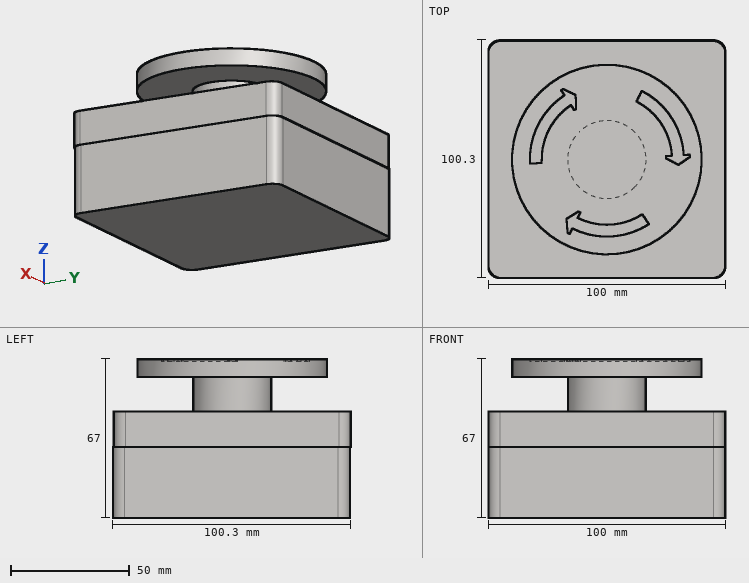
import cadquery as cq
import math

box_side = 100.0
corner_radius = 5.0
base_height = 30.0
lid_height = 15.0
base_offset_y = 0.34

stem_diameter = 33.0
stem_height = 14.5
head_diameter = 80.0
head_height = 7.5

arrow_count = 3
arrow_depth = 1.0
arrow_radius = 30.0
arrow_shaft_width = 5.0
arrow_start_angle = 63.0
arrow_neck_angle = 3.4
arrowhead_width = 10.0
arrowhead_length = 4.0
arrowhead_side = 1.0

lid_bottom = base_height
lid_top = lid_bottom + lid_height
head_bottom = lid_top + stem_height
button_top = head_bottom + head_height


def rounded_box(height):
    """Square block with rounded vertical edges, standing on Z = 0."""
    block = cq.Workplane("XY").box(box_side, box_side, height, centered=(True, True, False))
    return block.edges("|Z").fillet(corner_radius)


def polar_point(radius, angle):
    """Point at a radius and an angle in degrees about the button axis."""
    return (radius * math.cos(math.radians(angle)), radius * math.sin(math.radians(angle)))


def head_point(radius, advance):
    """Point of the arrowhead: a radius along its back edge and a clockwise advance square to it."""
    along_x, along_y = polar_point(radius, arrow_neck_angle)
    ahead_x, ahead_y = polar_point(advance, arrow_neck_angle - 90.0)
    return (along_x + ahead_x, along_y + ahead_y)


def make_arrow(turn_angle):
    """One clockwise curved arrow, turned about the button axis."""
    inner_radius = arrow_radius - arrow_shaft_width / 2
    outer_radius = arrow_radius + arrow_shaft_width / 2
    head_inner = arrow_radius - arrowhead_width / 2
    head_outer = arrow_radius + arrowhead_width / 2
    middle_angle = (arrow_start_angle + arrow_neck_angle) / 2
    outline = (
        cq.Workplane("XY", origin=(0, 0, button_top - arrow_depth))
        .moveTo(*polar_point(outer_radius, arrow_start_angle))
        .threePointArc(
            polar_point(outer_radius, middle_angle),
            polar_point(outer_radius, arrow_neck_angle),
        )
        .lineTo(*head_point(head_outer, 0))
        .lineTo(*head_point(head_outer, arrowhead_side))
        .lineTo(*head_point(arrow_radius, arrowhead_length))
        .lineTo(*head_point(head_inner, arrowhead_side))
        .lineTo(*head_point(head_inner, 0))
        .lineTo(*polar_point(inner_radius, arrow_neck_angle))
        .threePointArc(
            polar_point(inner_radius, middle_angle),
            polar_point(inner_radius, arrow_start_angle),
        )
        .close()
    )
    return outline.extrude(arrow_depth).rotate((0, 0, 0), (0, 0, 1), turn_angle)


def make_button(inlays):
    """Stem and disc head in one piece, with a recess for each inlaid arrow."""
    stem = cq.Workplane("XY", origin=(0, 0, lid_top)).circle(stem_diameter / 2).extrude(stem_height)
    head = cq.Workplane("XY", origin=(0, 0, head_bottom)).circle(head_diameter / 2).extrude(head_height)
    body = stem.union(head)
    for inlay in inlays:
        body = body.cut(inlay)
    return body


base = rounded_box(base_height).translate((0, base_offset_y, 0))
lid = rounded_box(lid_height).translate((0, 0, lid_bottom))
arrows = [make_arrow(index * 360.0 / arrow_count) for index in range(arrow_count)]
button = make_button(arrows)

result = cq.Compound.makeCompound(
    [base.val(), lid.val(), button.val(), *[arrow.val() for arrow in arrows]]
)